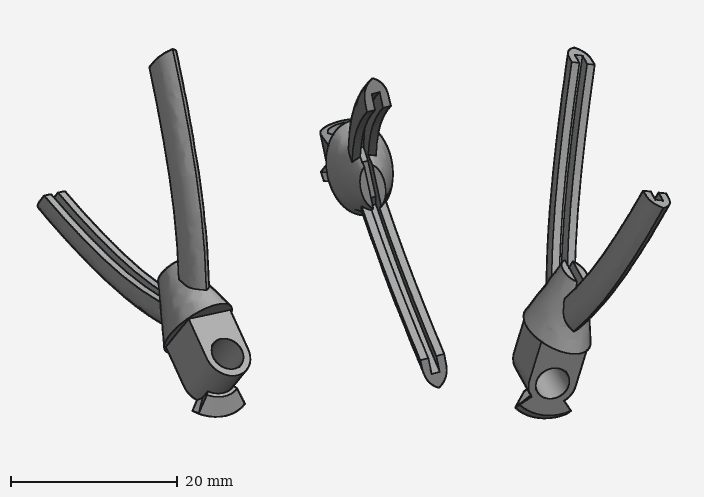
import cadquery as cq
import math

TILT_ANGLE = -45.0

HUB_HEIGHT = 8.0
HUB_BASE_LENGTH = 12.07
HUB_BASE_WIDTH = 8.0
HUB_TOP_LENGTH = 5.66
HUB_TOP_WIDTH = 3.0

STEM_LENGTH = 8.5
STEM_WIDTH = 7.0
STEM_THICKNESS = 6.0
HOLE_DIAMETER = 4.18
STEM_END_RADIUS = STEM_THICKNESS / 2
HOLE_Z = STEM_END_RADIUS - STEM_LENGTH

FIN_HALF_WIDTH = 3.35
FIN_CORNER_REACH = 3.35
FIN_CREST_REACH = 4.37
FIN_LEAN = 0.95
FIN_TAPER = 0.65
FIN_TAPER_RISE = 1.6

ARM_WIDTH = 3.0
ARM_DEPTH = 3.69
ARM_FLANK_DEPTH = 1.2
ARM_TOP_Z = 27.82
JOINT_X = 13.4
JOINT_Z = 14.0
JOINT_LEAN = 29.4
UPPER_ARC_RADIUS = 118.0
LOWER_ARC_RADIUS = 61.5
ARM_ROOT_Z = 1.0
UPPER_SWEEP = 9.0

SLOT_WIDTH = 1.0
ARM_SLOT_DEPTH = 1.9
HUB_SLOT_DEPTH = 3.0
HUB_SLOT_FLOOR_Z = HUB_HEIGHT - HUB_SLOT_DEPTH


def make_hub():
    return (
        cq.Workplane("XY")
        .ellipse(HUB_BASE_LENGTH / 2, HUB_BASE_WIDTH / 2)
        .workplane(offset=HUB_HEIGHT)
        .ellipse(HUB_TOP_LENGTH / 2, HUB_TOP_WIDTH / 2)
        .loft(ruled=True)
    )


def make_stem():
    return (
        cq.Workplane("YZ")
        .moveTo(-STEM_END_RADIUS, 0)
        .lineTo(-STEM_END_RADIUS, HOLE_Z)
        .threePointArc((0, -STEM_LENGTH), (STEM_END_RADIUS, HOLE_Z))
        .lineTo(STEM_END_RADIUS, 0)
        .close()
        .extrude(STEM_WIDTH / 2, both=True)
    )


def fin_layer(start, rise, start_fan, end_fan):
    """Ruled solid between two fans, each given as half width, corner reach and crest reach."""
    half_start, corner_start, crest_start = start_fan
    half_end, corner_end, crest_end = end_fan
    return (
        cq.Workplane("YZ", origin=(start, 0, HOLE_Z))
        .lineTo(-half_start, -corner_start)
        .threePointArc((0, -crest_start), (half_start, -corner_start))
        .close()
        .workplane(offset=rise)
        .lineTo(-half_end, -corner_end)
        .threePointArc((0, -crest_end), (half_end, -corner_end))
        .close()
        .loft(ruled=True)
    )


def make_fin():
    """Fan with its point on the hole axis that leans outward, then tapers back to the stem."""
    foot = (FIN_HALF_WIDTH, FIN_CORNER_REACH, FIN_CREST_REACH)
    crest = (FIN_HALF_WIDTH, FIN_CORNER_REACH + FIN_LEAN, FIN_CREST_REACH + FIN_LEAN)
    tip = tuple(size * FIN_TAPER for size in crest)
    foot_x = -STEM_WIDTH / 2
    lower = fin_layer(foot_x, FIN_LEAN, foot, crest)
    upper = fin_layer(foot_x + FIN_LEAN, FIN_TAPER_RISE, crest, tip)
    return lower.union(upper)


def make_hole():
    return (
        cq.Workplane("YZ", origin=(-STEM_WIDTH, 0, HOLE_Z))
        .circle(HOLE_DIAMETER / 2)
        .extrude(2 * STEM_WIDTH)
    )


def joint_plane():
    """Section plane of the arm joint: local X points out of the arm's back, local Y along +Y."""
    lean = math.radians(JOINT_LEAN)
    return cq.Plane(
        origin=(JOINT_X, 0, JOINT_Z),
        xDir=(math.cos(lean), 0, -math.sin(lean)),
        normal=(math.sin(lean), 0, math.cos(lean)),
    )


def arm_section():
    """Flat inner side and two smooth flanks that start square to it and meet in a ridge."""
    half_width = ARM_WIDTH / 2
    nose = ARM_DEPTH - ARM_FLANK_DEPTH
    nose_radius = (nose**2 + half_width**2) / (2 * half_width)
    half_turn = math.asin(nose / nose_radius) / 2
    shoulder_x = nose_radius * math.sin(half_turn) - nose
    shoulder_y = half_width - nose_radius * (1 - math.cos(half_turn))
    ridge_x = math.cos(2 * half_turn)
    ridge_y = math.sin(2 * half_turn)
    return (
        cq.Workplane(joint_plane())
        .moveTo(-ARM_DEPTH, -half_width)
        .spline([(shoulder_x, -shoulder_y), (0, 0)], [(1, 0), (ridge_x, ridge_y)], includeCurrent=True)
        .spline(
            [(shoulder_x, shoulder_y), (-ARM_DEPTH, half_width)],
            [(-ridge_x, ridge_y), (-1, 0)],
            includeCurrent=True,
        )
        .close()
    )


def slot_section():
    slot_floor = ARM_SLOT_DEPTH - ARM_DEPTH
    return (
        cq.Workplane(joint_plane())
        .moveTo(slot_floor - ARM_SLOT_DEPTH / 2, 0)
        .rect(ARM_SLOT_DEPTH, SLOT_WIDTH)
    )


def along_arm(section, lower_sweep, upper_sweep):
    """Turn a section about both arc centres, which lie on the section plane's local X axis."""
    lower = section().revolve(lower_sweep, (-LOWER_ARC_RADIUS, 0), (-LOWER_ARC_RADIUS, 1))
    upper = section().revolve(upper_sweep, (-UPPER_ARC_RADIUS, 0), (-UPPER_ARC_RADIUS, -1))
    return lower.union(upper)


def lower_sweep_to(z, radius):
    """Sweep angle that takes a point of the lower arc at the given radius down to height z."""
    centre_z = JOINT_Z + LOWER_ARC_RADIUS * math.sin(math.radians(JOINT_LEAN))
    return math.degrees(math.asin((centre_z - z) / radius)) - JOINT_LEAN


def make_arm():
    arm = along_arm(arm_section, lower_sweep_to(ARM_ROOT_Z, LOWER_ARC_RADIUS), UPPER_SWEEP)
    trim_size = 2 * ARM_TOP_Z
    trim = cq.Workplane("XY", origin=(0, 0, ARM_TOP_Z)).rect(trim_size, trim_size).extrude(trim_size)
    return arm.cut(trim)


def make_arm_slot():
    sweep = lower_sweep_to(HUB_SLOT_FLOOR_Z, LOWER_ARC_RADIUS - ARM_DEPTH)
    return along_arm(slot_section, sweep, UPPER_SWEEP)


def make_hub_slot():
    """Straight slot reaching exactly across the hub at the level of its floor."""
    hub_taper = (HUB_BASE_LENGTH - HUB_TOP_LENGTH) / HUB_HEIGHT
    slot_length = HUB_BASE_LENGTH - hub_taper * HUB_SLOT_FLOOR_Z
    return (
        cq.Workplane("XY", origin=(0, 0, HUB_SLOT_FLOOR_Z))
        .rect(slot_length, SLOT_WIDTH)
        .extrude(HUB_SLOT_DEPTH)
    )


arm = make_arm()
arm_slot = make_arm_slot()
body = (
    make_hub()
    .union(make_stem())
    .union(make_fin())
    .union(arm)
    .union(arm.mirror("YZ"))
    .cut(arm_slot)
    .cut(arm_slot.mirror("YZ"))
    .cut(make_hub_slot())
    .cut(make_hole())
)
result = body.rotate((0, 0, 0), (0, 1, 0), TILT_ANGLE)